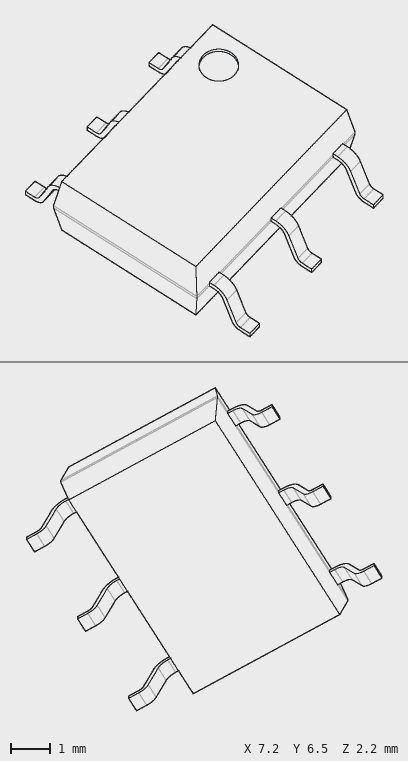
import cadquery as cq
import math

overall_width = 7.2
overall_height = 2.2

body_width = 4.6
body_length = 6.5
standoff = 0.1
band_height = 0.1
draft_inset = 0.15
body_height = overall_height - standoff
half_height = (body_height - band_height) / 2
draft_angle = math.degrees(math.atan(draft_inset / half_height))
band_bottom = standoff + half_height
band_top = band_bottom + band_height

mark_diameter = 1.0
mark_inset = 1.05
mark_depth = 0.1
mark_x = -(body_width / 2 - mark_inset)
mark_y = body_length / 2 - mark_inset

leads_per_side = 3
lead_pitch = 2.54
lead_width = 0.4
lead_thickness = 0.15
foot_length = 0.3
slope_angle = math.radians(68)
knee_inner_radius = 0.3
ankle_inner_radius = 0.15


def tapered_half(base_z, direction):
    """Half of the body, narrowing away from the band; direction is +1 for up and -1 for down."""
    base = cq.Workplane("XY").workplane(offset=base_z)
    return base.rect(body_width, body_length).extrude(direction * half_height, taper=draft_angle)


def make_body():
    band = (
        cq.Workplane("XY")
        .workplane(offset=band_bottom)
        .rect(body_width, body_length)
        .extrude(band_height)
    )
    mark = (
        cq.Workplane("XY")
        .workplane(offset=overall_height - mark_depth)
        .center(mark_x, mark_y)
        .circle(mark_diameter / 2)
        .extrude(mark_depth)
    )
    body = band.union(tapered_half(band_top, 1)).union(tapered_half(band_bottom, -1))
    return body.cut(mark).solids()


def make_lead():
    """Lead on the +X side, centred on Y = 0: a strip swept along its centreline."""
    sin_slope = math.sin(slope_angle)
    cos_slope = math.cos(slope_angle)
    knee_radius = knee_inner_radius + lead_thickness / 2
    ankle_radius = ankle_inner_radius + lead_thickness / 2

    shoulder_z = band_bottom + lead_thickness / 2
    foot_z = lead_thickness / 2
    tip_x = overall_width / 2

    ankle_start_x = tip_x - foot_length
    ankle_end_x = ankle_start_x - ankle_radius * sin_slope
    ankle_end_z = foot_z + ankle_radius * (1 - cos_slope)
    knee_end_z = shoulder_z - knee_radius * (1 - cos_slope)
    knee_end_x = ankle_end_x - (knee_end_z - ankle_end_z) / math.tan(slope_angle)
    knee_start_x = knee_end_x - knee_radius * sin_slope

    centreline = (
        cq.Workplane("XZ")
        .moveTo(body_width / 2, shoulder_z)
        .lineTo(knee_start_x, shoulder_z)
        .tangentArcPoint((knee_end_x, knee_end_z), relative=False)
        .lineTo(ankle_end_x, ankle_end_z)
        .tangentArcPoint((ankle_start_x, foot_z), relative=False)
        .lineTo(tip_x, foot_z)
    )
    section = (
        cq.Workplane("YZ", origin=(body_width / 2, 0, shoulder_z))
        .rect(lead_width, lead_thickness)
    )
    return section.sweep(centreline)


def make_leads():
    right_lead = make_lead()
    left_lead = right_lead.mirror("YZ")
    leads = []
    for lead in (left_lead, right_lead):
        for index in range(leads_per_side):
            lead_y = (index - (leads_per_side - 1) / 2) * lead_pitch
            leads.append(lead.translate((0, lead_y, 0)).val())
    return leads


body = make_body()
leads = make_leads()

result = cq.Compound.makeCompound([body.val(), *leads])